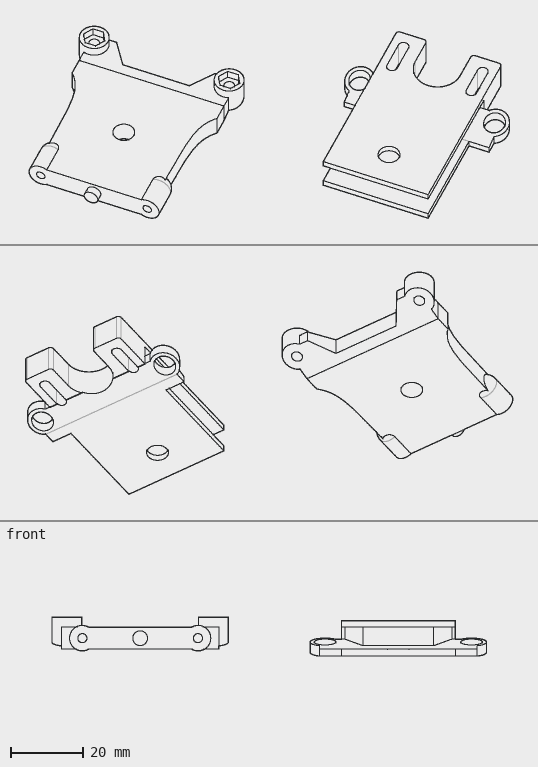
import cadquery as cq
import math


RAMP_ANGLE = 15.0
SCREW_SPACING = 40.6
BOSS_DIAMETER = 8.3
CENTRE_HOLE = 6.0
EAR_HALF_WIDTH = 21.8
RAMP_SLOPE = math.tan(math.radians(RAMP_ANGLE))

TONGUE_THICKNESS = 6.1
TONGUE_LENGTH = 41.0
WAIST_HALF_WIDTH = 17.5
FLARE_START = 7.2
FLARE_PULL_START = 26.5
FLARE_PULL_END = 31.3
FLARE_END = 36.0
TONGUE_HOLE_Y = 21.2
BARREL_DIAMETER = 7.1
BARREL_X = 16.0
BARREL_LENGTH = 8.2
BARREL_HOLE = 2.5
BARREL_HOLE_DEPTH = 7.2
DRILL_TIP = 0.7
PIN_DIAMETER = 4.1
PIN_LENGTH = 2.2

NOSE_TIP_Y = 51.2
NOTCH_Y = 44.2
NOTCH_FLOOR_WIDTH = 20.0
NOTCH_MOUTH_WIDTH = 29.6
BOSS_Y = 48.2
BOSS_TOP = 8.9
NUT_CORNERS = 6.4
NUT_DEPTH = 2.4
SCREW_HOLE = 3.0

CLIP_X = 71.5
CLIP_FRONT = 31.2
CLIP_BACK = 83.8
CLIP_WIDTH = 31.6
CLIP_TOP = 8.0
CLIP_BOTTOM = -1.9
ARM_BOTTOM = -0.4
RAMP_START = 60.4
RAMP_UNDERSIDE_START = 64.0
ARM_FRONT = 70.8
WEDGE_TIP_Y = 64.0
WEDGE_TIP_WIDTH = 19.5
WEDGE_BASE_WIDTH = NOTCH_MOUTH_WIDTH
EYELET_Y = 67.8
CLIP_HOLE_Y = 40.7
MOUTH_WIDTH = 13.5
MOUTH_BOTTOM_Y = 68.5
SLOT_WIDTH = 3.0
SLOT_LENGTH = 11.1
SLOT_X = 11.9
SLOT_Y = 75.2
CORNER_RADIUS = 1.0

SCREW_X = SCREW_SPACING / 2
HALF_THICKNESS = TONGUE_THICKNESS / 2


def cylinder_up(diameter, x, y, bottom, top):
    return cq.Workplane("XY", origin=(x, y, bottom)).circle(diameter / 2).extrude(top - bottom)


def cylinder_along_y(diameter, x, z, start, end):
    return cq.Workplane("XZ", origin=(x, start, z)).circle(diameter / 2).extrude(start - end)


def flat_prism(points, bottom, top):
    """Prism with an X-Y outline."""
    return cq.Workplane("XY", origin=(0, 0, bottom)).polyline(points).close().extrude(top - bottom)


def side_prism(points, half_width):
    """Prism with a Y-Z outline, centred on X = 0."""
    return cq.Workplane("YZ").polyline(points).close().extrude(half_width, both=True)


def centred_block(width, front, back, bottom, top):
    """Box symmetric about X = 0."""
    size = (width, back - front, top - bottom)
    return cq.Workplane("XY", origin=(0, front, bottom)).box(*size, centered=(True, False, False))



def make_tongue_plate():
    flare = [
        (WAIST_HALF_WIDTH, FLARE_START),
        (WAIST_HALF_WIDTH, FLARE_PULL_START),
        (WAIST_HALF_WIDTH, FLARE_PULL_END),
        (EAR_HALF_WIDTH, FLARE_END),
    ]
    half = (
        cq.Workplane("XY")
        .lineTo(WAIST_HALF_WIDTH, 0)
        .lineTo(WAIST_HALF_WIDTH, FLARE_START)
        .bezier(flare)
        .lineTo(EAR_HALF_WIDTH, TONGUE_LENGTH)
        .lineTo(0, TONGUE_LENGTH)
        .close()
        .extrude(TONGUE_THICKNESS)
    )
    return half.union(half.mirror("YZ"))


def revolve_about_y(outline, x):
    """Turned shape about the barrel axis at the given X."""
    shape = outline.close().revolve(360, (0, 0, 0), (0, 1, 0))
    return shape.translate((x, 0, HALF_THICKNESS))


def make_barrel(x):
    """Cylinder along the plate's edge, closed by a hemisphere."""
    radius = BARREL_DIAMETER / 2
    diagonal = radius * math.sqrt(0.5)
    outline = (
        cq.Workplane("XY")
        .lineTo(-radius, 0)
        .lineTo(-radius, BARREL_LENGTH)
        .threePointArc((-diagonal, BARREL_LENGTH + diagonal), (0, BARREL_LENGTH + radius))
    )
    return revolve_about_y(outline, x)


def make_barrel_hole(x):
    """Drilled blind hole with a conical end."""
    radius = BARREL_HOLE / 2
    outline = (
        cq.Workplane("XY")
        .lineTo(radius, 0)
        .lineTo(radius, BARREL_HOLE_DEPTH)
        .lineTo(0, BARREL_HOLE_DEPTH + DRILL_TIP)
    )
    return revolve_about_y(outline, x)


def make_tongue():
    tongue = make_tongue_plate()
    for x in (-BARREL_X, BARREL_X):
        tongue = tongue.union(make_barrel(x)).cut(make_barrel_hole(x))
    pin = cylinder_along_y(PIN_DIAMETER, 0, HALF_THICKNESS, -PIN_LENGTH, 0)
    hole = cylinder_up(CENTRE_HOLE, 0, TONGUE_HOLE_Y, 0, TONGUE_THICKNESS)
    return tongue.union(pin).cut(hole)



def make_nut_pocket(x):
    return (
        cq.Workplane("XY", origin=(x, BOSS_Y, BOSS_TOP - NUT_DEPTH))
        .polygon(6, NUT_CORNERS)
        .extrude(NUT_DEPTH)
    )


def make_notch():
    floor = NOTCH_FLOOR_WIDTH / 2
    mouth = NOTCH_MOUTH_WIDTH / 2
    outline = [(-floor, NOTCH_Y), (floor, NOTCH_Y), (mouth, NOSE_TIP_Y), (-mouth, NOSE_TIP_Y)]
    return flat_prism(outline, 0, TONGUE_THICKNESS)


def make_ramp_cut():
    """Everything below the slope that starts at the nose's rear edge."""
    end = BOSS_Y + BOSS_DIAMETER
    rise = (end - TONGUE_LENGTH) * RAMP_SLOPE
    return side_prism([(TONGUE_LENGTH, 0), (end, 0), (end, rise)], EAR_HALF_WIDTH + BOSS_DIAMETER)


def make_nose():
    nose = centred_block(2 * EAR_HALF_WIDTH, TONGUE_LENGTH, NOSE_TIP_Y, 0, TONGUE_THICKNESS)
    nose = nose.cut(make_notch())
    for x in (-SCREW_X, SCREW_X):
        nose = nose.union(cylinder_up(BOSS_DIAMETER, x, BOSS_Y, 0, BOSS_TOP))
        nose = nose.cut(make_nut_pocket(x))
        nose = nose.cut(cylinder_up(SCREW_HOLE, x, BOSS_Y, 0, BOSS_TOP))
    return nose.cut(make_ramp_cut())



def make_ramp():
    """Ramp that carries the ears and eyelets, as wide as both eyelets together."""
    end = EYELET_Y + BOSS_DIAMETER
    outline = [
        (RAMP_START, CLIP_BOTTOM),
        (RAMP_UNDERSIDE_START, CLIP_BOTTOM),
        (end, CLIP_BOTTOM + (end - RAMP_UNDERSIDE_START) * RAMP_SLOPE),
        (end, (end - RAMP_START) * RAMP_SLOPE),
        (RAMP_START, 0),
    ]
    return side_prism(outline, SCREW_X + BOSS_DIAMETER)


def make_ears():
    """The ramp trimmed to the plan of the ears and eyelets."""
    plan = centred_block(2 * EAR_HALF_WIDTH, RAMP_START, ARM_FRONT, CLIP_BOTTOM, CLIP_TOP)
    for x in (-SCREW_X, SCREW_X):
        plan = plan.union(cylinder_up(BOSS_DIAMETER, x, EYELET_Y, CLIP_BOTTOM, CLIP_TOP))
    ears = make_ramp().intersect(plan)
    for x in (-SCREW_X, SCREW_X):
        ears = ears.cut(cylinder_up(CENTRE_HOLE, x, EYELET_Y, CLIP_BOTTOM, CLIP_TOP))
    return ears


def make_wedge():
    """Tapered front of the block, which enters the nose's notch."""
    tip = WEDGE_TIP_WIDTH / 2
    base = WEDGE_BASE_WIDTH / 2
    outline = [(-tip, WEDGE_TIP_Y), (tip, WEDGE_TIP_Y), (base, ARM_FRONT), (-base, ARM_FRONT)]
    return flat_prism(outline, 0, CLIP_TOP)


def make_mouth():
    """Round-bottomed opening between the two arms."""
    centre = MOUTH_BOTTOM_Y + MOUTH_WIDTH / 2
    opening = centred_block(MOUTH_WIDTH, centre, CLIP_BACK, CLIP_BOTTOM, CLIP_TOP)
    return opening.union(cylinder_up(MOUTH_WIDTH, 0, centre, CLIP_BOTTOM, CLIP_TOP))


def make_arm_slot(x):
    return (
        cq.Workplane("XY", origin=(x, SLOT_Y, CLIP_BOTTOM))
        .slot2D(SLOT_LENGTH, SLOT_WIDTH, 90)
        .extrude(CLIP_TOP - CLIP_BOTTOM)
    )


def make_clip():
    clip = centred_block(CLIP_WIDTH, CLIP_FRONT, CLIP_BACK, TONGUE_THICKNESS, CLIP_TOP)
    clip = clip.union(centred_block(CLIP_WIDTH, ARM_FRONT, CLIP_BACK, ARM_BOTTOM, CLIP_TOP))
    clip = clip.union(make_wedge())
    clip = clip.union(
        centred_block(CLIP_WIDTH, CLIP_FRONT, RAMP_UNDERSIDE_START, CLIP_BOTTOM, 0)
    )
    clip = clip.union(make_ears())
    clip = clip.cut(make_mouth())
    clip = clip.edges("|Z").edges(">Y").fillet(CORNER_RADIUS)
    for x in (-SLOT_X, SLOT_X):
        clip = clip.cut(make_arm_slot(x))
    return clip.cut(cylinder_up(CENTRE_HOLE, 0, CLIP_HOLE_Y, CLIP_BOTTOM, CLIP_TOP))


tongue = make_tongue()
nose = make_nose()
clip = make_clip().translate((CLIP_X, 0, 0))

bodies = [body.solids().val() for body in (tongue, nose, clip)]
result = cq.Compound.makeCompound(bodies)